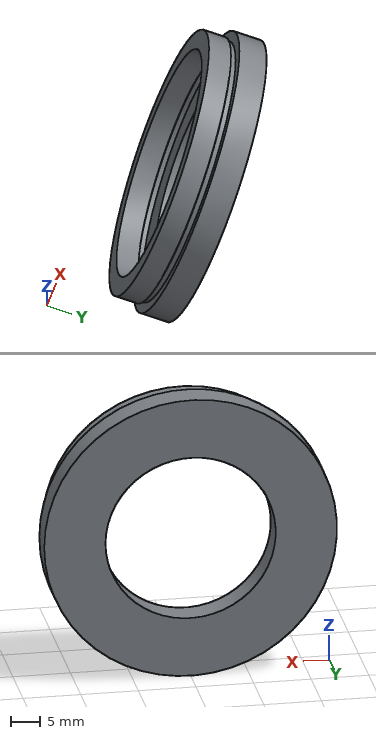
import cadquery as cq

total_width = 10.0
flange_width = 5.0
groove_width = 1.0
lip_width = total_width - flange_width - groove_width

flange_diameter = 50.8
lip_diameter = 48.0
groove_diameter = 47.0
bore_diameter = 29.5
recess_diameter = 41.0
recess_depth = lip_width + groove_width
undercut_diameter = 42.0


def disc(diameter, front, width):
    """Solid disc about Y, spanning front to front + width."""
    plane = cq.Workplane("XZ", origin=(0, front, 0))
    return plane.circle(diameter / 2).extrude(-width)


front_face = -total_width / 2
groove_front = front_face + lip_width
flange_front = groove_front + groove_width

lip = disc(lip_diameter, front_face, lip_width)
groove = disc(groove_diameter, groove_front, groove_width)
flange = disc(flange_diameter, flange_front, flange_width)
body = lip.union(groove).union(flange)

undercut = disc(undercut_diameter, groove_front, groove_width)

recess = disc(recess_diameter, front_face, recess_depth)
bore = disc(bore_diameter, front_face, total_width)
result = body.cut(recess).cut(undercut).cut(bore)